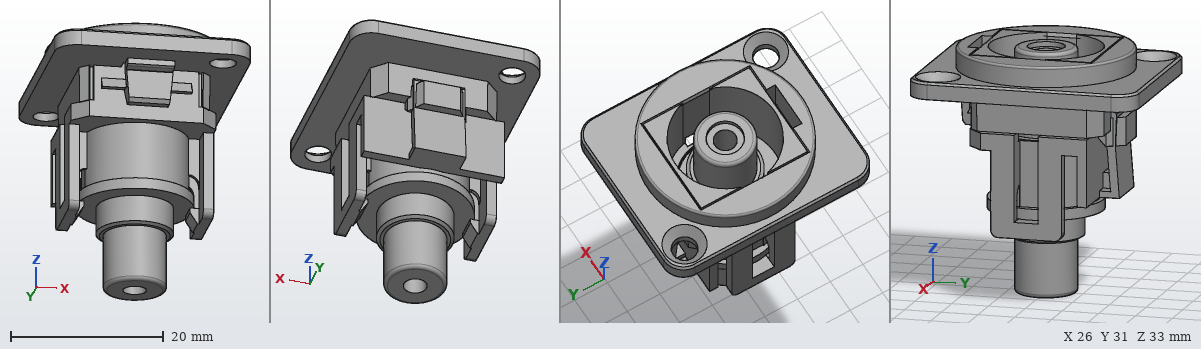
import cadquery as cq
import math

plate_width = 26.0
plate_length = 31.0
plate_top = 2.3
plate_corner_radius = 3.0
plate_edge_chamfer = 0.3
bezel_edge_round = 0.3
bezel_diameter = 23.6
bezel_top = 5.05

screw_x = 9.5
screw_y = 12.0
screw_hole_diameter = 3.5
countersink_diameter = 5.9
countersink_angle = 90.0

insert_width = 14.66
insert_half_length = 8.24
seam_width = 0.22
seam_depth = 0.5

frame_half_width = 8.72
frame_front = -8.1
frame_back = 9.86
frame_bottom = -4.85
frame_front_chamfer = 1.1
frame_back_chamfer = 1.9
frame_draft = 1.0
front_face_half_width = 7.0
front_gap_half_width = 7.45
front_gap_depth = 0.6

flange_half_width = 9.63
flange_bottom = -7.13
flange_chamfer = 2.05

bore_diameter = 15.2
bore_floor = -6.2
barrel_diameter = 14.2
ring_diameter = 15.5
ring_top = -15.1
ring_bottom = -16.57
collar_diameter = 10.2
collar_bottom = -20.4
collar_chamfer_width = 0.47
collar_chamfer_height = 0.3
inner_collar_top = -3.0
post_diameter = 8.3
post_bottom = bezel_top - 33.0
post_round = 0.5
contact_hole_diameter = 3.1
contact_recess_diameter = 5.0
contact_recess_depth = 0.65

groove_outer_diameter = 12.9
groove_inner_diameter = 12.5
groove_depth = 0.3
groove_end_y = -5.3

leg_half_length = 4.83
leg_thickness = 1.4
leg_bottom = -18.75
leg_corner_radius = 1.0
leg_slot_half_length = 1.66
leg_slot_depth_x = 6.75
claw_tip_x = 7.05
claw_straight = 0.65
claw_foot_gap = 0.2
web_half_length = 2.2
web_arch_top = -12.2
web_bottom = -13.95
web_foot_width = 0.08

back_wall_thickness = 1.3
back_wall_bottom = -13.95
latch_arm_half_width = 3.5
latch_head_half_width = 4.0
latch_head_tip_half_width = 2.5
latch_head_taper_y = 9.3
latch_head_tip_y = 11.55

wedge_half_width = 6.0
wedge_top = -1.7
wedge_bottom = -3.17
wedge_tip_y = -9.03
hook_top_half_width = 3.13
hook_bottom_half_width = 2.7
hook_bottom = -5.55
hook_taper_start = -0.8
window_half_width = 3.35
window_front_y = -9.7

inner_leg_x = flange_half_width - leg_thickness
sides = (-1, 1)


def block(x0, x1, y0, y1, z0, z1):
    """Box between two opposite corners."""
    return cq.Workplane("XY").box(x1 - x0, y1 - y0, z1 - z0, centered=False).translate((x0, y0, z0))


def cylinder(diameter, z0, z1):
    """Cylinder on the Z axis."""
    return cq.Workplane("XY").workplane(offset=z0).circle(diameter / 2).extrude(z1 - z0)


def side_profile(points, half_width):
    """Closed (y, z) outline extruded to both sides of the YZ plane."""
    return cq.Workplane("YZ").polyline(points).close().extrude(half_width, both=True)


def on_side(solid, side):
    """Place a solid made for +X on the given side by a half turn; it is symmetric about Y = 0."""
    return solid if side > 0 else solid.rotate((0, 0, 0), (0, 0, 1), 180)


def make_plate_and_bezel():
    plate = (
        cq.Workplane("XY")
        .rect(plate_width, plate_length)
        .extrude(plate_top)
        .edges("|Z")
        .fillet(plate_corner_radius)
        .faces(">Z")
        .edges()
        .chamfer(plate_edge_chamfer)
    )
    plate = (
        plate.faces(">Z")
        .workplane(origin=(0, 0, plate_top))
        .pushPoints([(-screw_x, screw_y), (screw_x, -screw_y)])
        .cskHole(screw_hole_diameter, countersink_diameter, countersink_angle)
    )
    bezel = cylinder(bezel_diameter, 0, bezel_top).faces(">Z").edges().fillet(bezel_edge_round)
    return plate.union(bezel)


def make_seam():
    """V-shaped seam around the insert, in the bezel face."""
    insert_length = 2 * insert_half_length - seam_width
    outer = (
        cq.Workplane("XY")
        .workplane(offset=bezel_top)
        .rect(insert_width + 2 * seam_width, insert_length + 2 * seam_width)
        .workplane(offset=-seam_depth)
        .rect(insert_width, insert_length)
        .loft(ruled=True)
    )
    core = (
        cq.Workplane("XY")
        .workplane(offset=bezel_top - seam_depth)
        .rect(insert_width, insert_length)
        .extrude(seam_depth)
    )
    return outer.cut(core)


def make_frame():
    """Drafted frame under the plate, with the insert's front face between two narrow gaps."""
    right_half = [
        (frame_half_width - frame_front_chamfer, frame_front),
        (frame_half_width, frame_front + frame_front_chamfer),
        (frame_half_width, frame_back - frame_back_chamfer),
        (frame_half_width - frame_back_chamfer, frame_back),
    ]
    left_half = [(-x, y) for x, y in reversed(right_half)]
    frame = cq.Workplane("XY").polyline(right_half + left_half).close().extrude(frame_bottom, taper=frame_draft)
    frame = frame.cut(
        block(-front_gap_half_width, front_gap_half_width,
              -insert_half_length, frame_front + front_gap_depth, frame_bottom, 0)
    )
    return frame.union(
        block(-front_face_half_width, front_face_half_width, -insert_half_length, 0, frame_bottom, 0)
    )


def make_flange():
    flange = block(-flange_half_width, flange_half_width,
                   -insert_half_length, insert_half_length, flange_bottom, frame_bottom)
    return flange.edges("|Z and <Y").chamfer(flange_chamfer)


def make_back_wall():
    return block(-flange_half_width, flange_half_width,
                 insert_half_length - back_wall_thickness, insert_half_length,
                 back_wall_bottom, flange_bottom)


def make_back_latch():
    """Spring arm rising from the foot of the back wall, with its catch head."""
    wall_y = insert_half_length
    foot_top = -13.1
    head_bottom = -6.95
    head_top = -3.15
    arm = side_profile(
        [
            (wall_y, back_wall_bottom),
            (10.95, back_wall_bottom),
            (10.4, head_bottom),
            (10.55, -2.6),
            (10.2, -2.1),
            (9.5, -2.1),
            (9.25, head_bottom),
            (9.75, foot_top),
            (wall_y, foot_top),
        ],
        latch_arm_half_width,
    )
    head = side_profile(
        [
            (latch_head_tip_y, head_top),
            (8.55, head_top),
            (wall_y, frame_bottom),
            (wall_y, -5.9),
            (9.25, head_bottom),
            (latch_head_tip_y, head_bottom),
        ],
        latch_head_half_width,
    )
    head_plan = (
        cq.Workplane("XY")
        .workplane(offset=head_bottom)
        .polyline(
            [
                (-latch_head_half_width, 0),
                (latch_head_half_width, 0),
                (latch_head_half_width, latch_head_taper_y),
                (latch_head_tip_half_width, latch_head_tip_y),
                (-latch_head_tip_half_width, latch_head_tip_y),
                (-latch_head_half_width, latch_head_taper_y),
            ]
        )
        .close()
        .extrude(head_top - head_bottom)
    )
    head = head.intersect(head_plan)
    gusset = block(-latch_arm_half_width / 2, latch_arm_half_width / 2, wall_y, 9.75, foot_top, -11.0)
    return arm.union(head).union(gusset)


def make_leg(side):
    """Flat side leg with a claw at its foot."""
    leg = block(inner_leg_x, flange_half_width, -leg_half_length, leg_half_length, leg_bottom, flange_bottom)
    claw = (
        cq.Workplane("XZ")
        .polyline(
            [
                (inner_leg_x, ring_bottom),
                (claw_tip_x, ring_bottom),
                (claw_tip_x, ring_bottom - claw_straight),
                (inner_leg_x - claw_foot_gap, leg_bottom),
                (inner_leg_x, leg_bottom),
            ]
        )
        .close()
        .extrude(leg_slot_half_length, both=True)
    )
    leg = leg.edges("|X and <Z").fillet(leg_corner_radius).union(claw)
    return on_side(leg, side)


def make_webs(side):
    """Web from barrel to leg with a rounded lower corner; the leg slot later splits it in two."""
    barrel_radius = barrel_diameter / 2
    inside_x = barrel_radius - leg_thickness
    arc_width = inner_leg_x - web_foot_width - barrel_radius
    arc_x = barrel_radius + arc_width * math.sin(math.pi / 4)
    arc_z = web_bottom + (web_arch_top - web_bottom) * math.cos(math.pi / 4)
    web = (
        cq.Workplane("XZ")
        .moveTo(inside_x, flange_bottom)
        .lineTo(inside_x, web_arch_top)
        .lineTo(barrel_radius, web_arch_top)
        .threePointArc((arc_x, arc_z), (inner_leg_x - web_foot_width, web_bottom))
        .lineTo(inner_leg_x, web_bottom)
        .lineTo(inner_leg_x, flange_bottom)
        .close()
        .extrude(web_half_length, both=True)
    )
    return on_side(web, side)


def make_leg_slot(side):
    """Slot through leg and flange that flattens the barrel and opens into the bore."""
    slot = block(leg_slot_depth_x, flange_half_width,
                 -leg_slot_half_length, leg_slot_half_length, ring_top, frame_bottom)
    leg_only = block(inner_leg_x, flange_half_width,
                     -leg_slot_half_length, leg_slot_half_length, ring_bottom, ring_top)
    slot = slot.union(leg_only)
    return on_side(slot, side)


def make_lower_socket():
    """Barrel, ring and stepped collar below the flange."""
    barrel = cylinder(barrel_diameter, ring_top, flange_bottom)
    ring = cylinder(ring_diameter, ring_bottom, ring_top)
    collar = cylinder(collar_diameter, collar_bottom, ring_bottom)
    collar = collar.faces("<Z").edges().chamfer(collar_chamfer_height, collar_chamfer_width)
    return barrel.union(ring).union(collar)


def make_bore():
    """Socket bore, clipped to the insert's width, with the C-shaped groove in its floor."""
    bore = cylinder(bore_diameter, bore_floor, bezel_top)
    bore = bore.intersect(
        block(-insert_width / 2, insert_width / 2, -bore_diameter, bore_diameter, bore_floor, bezel_top)
    )
    groove_bottom = bore_floor - groove_depth
    groove = cylinder(groove_outer_diameter, groove_bottom, bore_floor)
    groove = groove.cut(cylinder(groove_inner_diameter, groove_bottom, bore_floor))
    groove = groove.intersect(
        block(-bore_diameter, bore_diameter, groove_end_y, bore_diameter, groove_bottom, bore_floor)
    )
    return bore.union(groove)


def make_post():
    """Post running the whole height, rounded at both ends, with a collar on the bore floor."""
    post = cylinder(post_diameter, post_bottom, bezel_top).edges("%CIRCLE").fillet(post_round)
    collar = cylinder(collar_diameter, bore_floor, inner_collar_top)
    collar = collar.faces(">Z").edges().chamfer(collar_chamfer_height, collar_chamfer_width)
    return post.union(collar)


def make_contact_hole():
    hole = cylinder(contact_hole_diameter, post_bottom, bezel_top)
    return hole.union(cylinder(contact_recess_diameter, bezel_top - contact_recess_depth, bezel_top))


def make_wedge():
    """Catch wedge on the insert's front face."""
    return side_profile(
        [
            (-insert_half_length, wedge_top),
            (wedge_tip_y, wedge_bottom),
            (-insert_half_length, wedge_bottom),
        ],
        wedge_half_width,
    )


def make_hook():
    """Spring hook hanging from the plate, narrowing downwards, that grips below the wedge."""
    hook = side_profile(
        [
            (-9.63, 0),
            (-9.6, wedge_bottom),
            (wedge_tip_y, wedge_bottom),
            (-insert_half_length, wedge_bottom),
            (-insert_half_length, -3.65),
            (-9.15, hook_bottom),
            (-10.2, hook_bottom),
            (-10.6, -5.0),
            (-10.75, -1.3),
            (-10.55, -1.15),
            (-11.4, -0.95),
            (-11.75, -0.75),
            (-11.75, 0),
        ],
        hook_top_half_width,
    )
    front_outline = (
        cq.Workplane("XZ")
        .polyline(
            [
                (-hook_top_half_width, 0),
                (hook_top_half_width, 0),
                (hook_top_half_width, hook_taper_start),
                (hook_bottom_half_width, hook_bottom),
                (-hook_bottom_half_width, hook_bottom),
                (-hook_top_half_width, hook_taper_start),
            ]
        )
        .close()
        .extrude(plate_length)
    )
    return hook.intersect(front_outline)


def make_hook_window():
    """Opening through bezel and plate above the hook."""
    return block(-window_half_width, window_half_width, window_front_y, -insert_half_length, 0, bezel_top)


def make_lower_body():
    """Everything from the flange down, with the leg slots cut."""
    body = make_flange().union(make_lower_socket()).union(make_back_wall())
    for side in sides:
        slot = make_leg_slot(side)
        body = body.cut(slot)
        body = body.union(make_leg(side).cut(slot)).union(make_webs(side).cut(slot))
    return body


def make_part():
    part = make_plate_and_bezel().cut(make_seam()).union(make_frame())
    part = part.union(make_lower_body()).union(make_back_latch())
    part = part.cut(make_bore()).union(make_post()).cut(make_contact_hole())
    part = part.cut(make_hook_window())
    return part.union(make_wedge()).union(make_hook())


result = make_part()